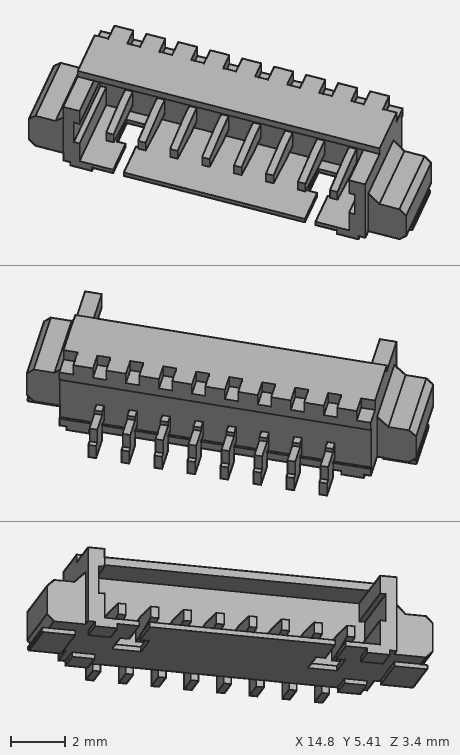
import cadquery as cq


total_length = 14.75
total_depth = 5.41
total_height = 3.4

housing_length = 11.8
housing_depth = 4.2
standoff = 0.18
wall_height = 3.1
roof_front = 1.61

cavity_width = 10.53
cavity_depth = 2.98
cavity_floor = 0.37
key_groove_width = 10.97
key_groove_bottom = 1.33
key_groove_top = 2.39

rear_relief_depth = 0.09
rear_relief_bottom = 0.53
rear_relief_top = 2.54
notch_depth = 0.7
notch_bottom = 2.92
pin_notch_width = 0.5
corner_notch_width = 0.53

slot_centre = 3.75
slot_width = 0.41
window_width = 1.1
window_front = 1.39
window_back = 2.54

foot_centre = 5.2
foot_width = 0.85
foot_depth = 0.96

ear_front = 0.35
ear_back = 3.17
ear_top = 1.81
ear_chamfer = 0.27
ear_gusset = 0.43
tab_front = 1.08
tab_back = 3.05
tab_width = 1.27
tab_chamfer = 0.05

pin_count = 8
pin_row_length = 8.75
pin_width = 0.3
pin_top = 1.48
pin_bottom = 0.74
pin_tip = 0.84
pin_taper_start = 2.32
pin_tip_top = 1.33
pin_tip_bottom = 0.9
tail_front = 4.42
tail_shoulder_top = 1.3
tail_step = 0.19
tail_foot_top = 0.63

pin_pitch = pin_row_length / (pin_count - 1)
pin_positions = [i * pin_pitch - pin_row_length / 2 for i in range(pin_count)]


def block(x_range, y_range, z_range):
    """Box between the given limits along each axis."""
    size = [end - start for start, end in (x_range, y_range, z_range)]
    corner = (x_range[0], y_range[0], z_range[0])
    return cq.Workplane("XY").box(*size, centered=False).translate(corner)


def centred_block(x_centre, width, y_range, z_range):
    """Box of the given width centred on x_centre."""
    return block((x_centre - width / 2, x_centre + width / 2), y_range, z_range)


def make_housing():
    """Outer body, with the cavity and its two key grooves open to the front."""
    body = centred_block(0, housing_length, (0, housing_depth), (standoff, wall_height))
    roof = centred_block(0, housing_length, (roof_front, housing_depth), (wall_height, total_height))
    cavity = centred_block(0, cavity_width, (0, cavity_depth), (cavity_floor, wall_height))
    grooves = centred_block(0, key_groove_width, (0, cavity_depth), (key_groove_bottom, key_groove_top))
    return body.union(roof).cut(cavity).cut(grooves)


def cut_rear_details(housing):
    """Shallow relief across the rear face, and notches in the roof's rear edge."""
    relief = centred_block(
        0,
        housing_length,
        (housing_depth - rear_relief_depth, housing_depth),
        (rear_relief_bottom, rear_relief_top),
    )
    housing = housing.cut(relief)
    notch_y = (housing_depth - notch_depth, housing_depth)
    notch_z = (notch_bottom, total_height)
    for x in pin_positions:
        housing = housing.cut(centred_block(x, pin_notch_width, notch_y, notch_z))
    corner_notch_x = (housing_length - corner_notch_width) / 2
    for side in (-1, 1):
        housing = housing.cut(centred_block(side * corner_notch_x, corner_notch_width, notch_y, notch_z))
    return housing


def cut_floor_openings(housing):
    """T-shaped opening near each end of the floor: a slot from the front into a wider window."""
    floor_z = (standoff, cavity_floor)
    for side in (-1, 1):
        x = side * slot_centre
        housing = housing.cut(centred_block(x, slot_width, (0, window_front), floor_z))
        housing = housing.cut(centred_block(x, window_width, (window_front, window_back), floor_z))
    return housing


def make_feet():
    """Four standoff feet under the corners of the housing."""
    feet = cq.Workplane("XY")
    for side in (-1, 1):
        for y_range in ((0, foot_depth), (housing_depth - foot_depth, housing_depth)):
            feet = feet.add(centred_block(side * foot_centre, foot_width, y_range, (0, standoff)))
    return feet.combine()


def make_right_ear():
    """Chamfered ear on the +X side, with a flat solder tab beneath it."""
    inner = housing_length / 2
    outer = total_length / 2
    profile = [
        (inner, standoff),
        (outer - ear_chamfer, standoff),
        (outer, standoff + ear_chamfer),
        (outer, ear_top - ear_chamfer),
        (outer - ear_chamfer, ear_top),
        (inner + ear_gusset, ear_top),
        (inner, ear_top + ear_gusset),
    ]
    ear = cq.Workplane("XZ", origin=(0, ear_front, 0)).polyline(profile).close().extrude(ear_front - ear_back)
    tab = block((outer - tab_width, outer), (tab_front, tab_back), (0, standoff))
    tab = tab.faces(">X").edges("|Y").chamfer(tab_chamfer)
    return ear.union(tab)


def make_pin(x):
    """Pin with a tapered front end and a stepped tail that drops to the board."""
    profile = [
        (pin_tip, pin_tip_bottom),
        (pin_tip, pin_tip_top),
        (pin_taper_start, pin_top),
        (tail_front, pin_top),
        (tail_front, tail_shoulder_top),
        (total_depth - tail_step, tail_shoulder_top),
        (total_depth - tail_step, tail_foot_top),
        (total_depth, tail_foot_top),
        (total_depth, 0),
        (tail_front, 0),
        (tail_front, pin_bottom),
        (pin_taper_start, pin_bottom),
    ]
    return cq.Workplane("YZ", origin=(x, 0, 0)).polyline(profile).close().extrude(pin_width / 2, both=True)


right_ear = make_right_ear()

result = cut_floor_openings(cut_rear_details(make_housing()))
result = result.union(make_feet()).union(right_ear).union(right_ear.mirror("YZ"))
for pin_x in pin_positions:
    result = result.union(make_pin(pin_x))